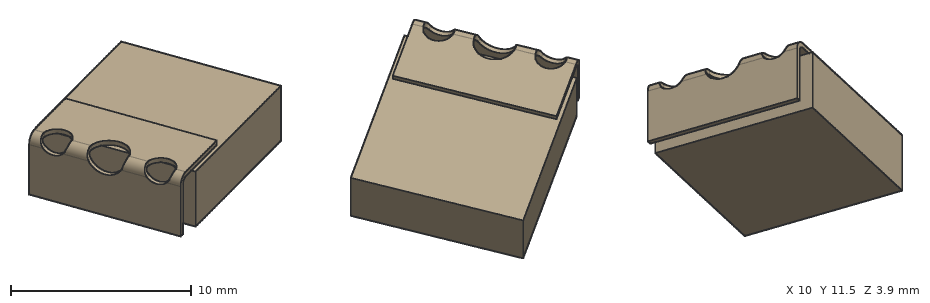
import cadquery as cq
import math

block_width = 10.0
block_depth = 10.2
block_height = 3.6

plate_width = 9.5
plate_thickness = 0.3
plate_reach = 4.34
bend_radius = 0.62
total_depth = 11.5
total_height = block_height + plate_thickness

inner_radius = bend_radius - plate_thickness
middle_radius = bend_radius - plate_thickness / 2
bend_length = middle_radius * math.pi / 2
bend_axis_y = bend_radius
bend_axis_z = total_height - bend_radius

side_hole_diameter = 1.75
center_hole_diameter = 2.38
hole_spacing = 3.25
hole_offset = 0.14

bend_sections = 9

margin = 0.12


def make_block():
    return (
        cq.Workplane("XY")
        .box(block_width, block_depth, block_height, centered=(True, False, False))
        .translate((0, total_depth - block_depth, 0))
    )


def make_plate():
    diagonal = math.sqrt(0.5)

    def bend_midpoint(radius):
        return (bend_axis_y - radius * diagonal, bend_axis_z + radius * diagonal)

    return (
        cq.Workplane("YZ")
        .moveTo(0, 0)
        .lineTo(0, bend_axis_z)
        .threePointArc(bend_midpoint(bend_radius), (bend_axis_y, total_height))
        .lineTo(plate_reach, total_height)
        .lineTo(plate_reach, block_height)
        .lineTo(bend_axis_y, block_height)
        .threePointArc(bend_midpoint(inner_radius), (plate_thickness, bend_axis_z))
        .lineTo(plate_thickness, 0)
        .close()
        .extrude(plate_width / 2, both=True)
    )


def bend_cutter(x, radius):
    """Solid for the part of a hole inside the bend, with walls that follow the radii of the bend."""
    near = inner_radius - margin
    far = bend_radius + margin
    sections = []
    for i in range(bend_sections):
        turn = i / (bend_sections - 1)
        angle = turn * math.pi / 2
        half_width = math.sqrt(radius**2 - (bend_length * (1 - turn) - hole_offset) ** 2)
        corners = [(-half_width, near), (half_width, near), (half_width, far), (-half_width, far)]
        points = [
            cq.Vector(x + across, bend_axis_y - out * math.cos(angle), bend_axis_z + out * math.sin(angle))
            for across, out in corners
        ]
        sections.append(cq.Wire.makePolygon(points, close=True))
    return cq.Workplane(obj=cq.Solid.makeLoft(sections))


def leg_cutter(radius, edge):
    """Circle segment reaching along +X from a chord on X = 0, through a sheet centred on Z = 0.

    The chord passes the center of the circle at the distance edge.
    """
    depth = plate_thickness + 2 * margin
    half_chord = math.sqrt(radius**2 - edge**2)
    return (
        cq.Workplane("XY")
        .moveTo(edge, -half_chord)
        .threePointArc((radius, 0), (edge, half_chord))
        .close()
        .extrude(depth / 2, both=True)
        .translate((-edge, 0, 0))
    )


def cut_hole(plate, x, diameter):
    radius = diameter / 2
    top_segment = (
        leg_cutter(radius, hole_offset)
        .rotate((0, 0, 0), (0, 0, 1), 90)
        .translate((x, bend_axis_y, total_height - plate_thickness / 2))
    )
    front_segment = (
        leg_cutter(radius, bend_length - hole_offset)
        .rotate((0, 0, 0), (0, 1, 0), 90)
        .rotate((0, 0, 0), (0, 0, 1), 90)
        .translate((x, plate_thickness / 2, bend_axis_z))
    )
    return plate.cut(bend_cutter(x, radius)).cut(top_segment).cut(front_segment)


plate = make_plate()
for x, diameter in [
    (-hole_spacing, side_hole_diameter),
    (0, center_hole_diameter),
    (hole_spacing, side_hole_diameter),
]:
    plate = cut_hole(plate, x, diameter)

result = make_block().union(plate)